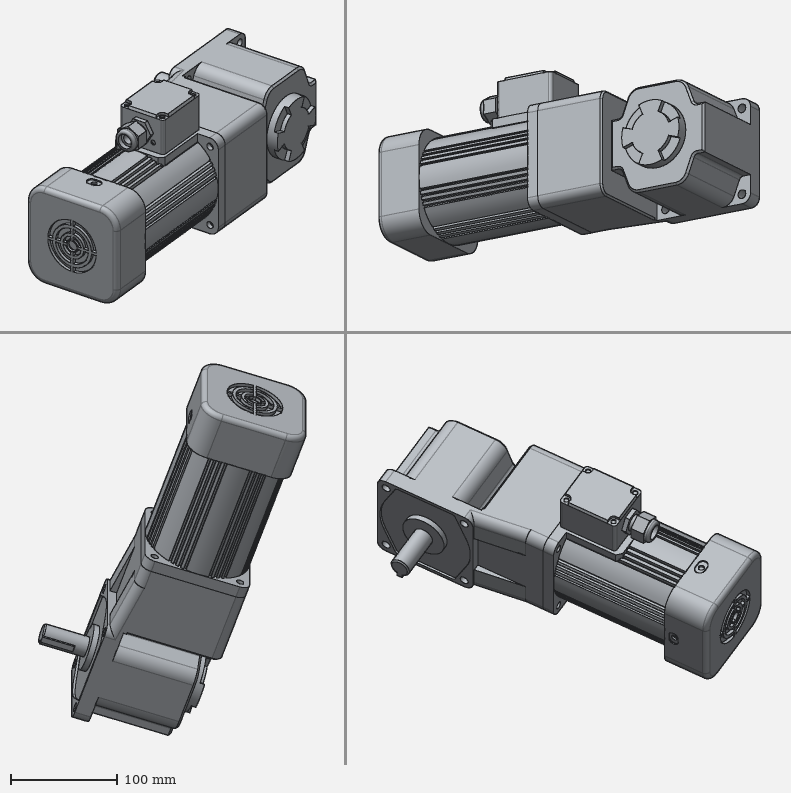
import cadquery as cq
import math


FRAME = 104.0
HALF = FRAME / 2
TOTAL_LENGTH = 354.0
GEAR_Y = TOTAL_LENGTH - HALF
BOLT_HALF_PITCH = 42.5

COVER_LENGTH = 46.7
FLANGE_REAR_Y = 167.5
FLANGE_FRONT_Y = 178.8
PLATE_LOWER_Y = GEAR_Y - HALF

PLATE_FRONT_X = -61.2
PLATE_BACK_X = -45.3
PLATE_CORNER_RADIUS = 9.2
BOLT_HOLE_RADIUS = 4.2
FACE_RECESS_DEPTH = 2.5
FACE_RECESS_RADIUS = 49.2
FACE_RECESS_HALF_HEIGHT = 48.5
FACE_RECESS_TANGENT_ANGLE = 25.0
FACE_RECESS_CORNER_RADIUS = 3.5
HUB_FRONT_X = -64.5
HUB_RADIUS = 22.48
CASE_BACK_X = 36.8
CASE_EDGE_CHAMFER = 2.0
CASE_FLAT_HALF = 20.5
CASE_SHOULDER_RADIUS = 14.0
CASE_WALL_ANGLE = 68.0
CASE_SHELF_Z = 24.8
CASE_SHELF_START = 44.2
CASE_VALLEY_RADIUS = 5.0
CAP_RADIUS = 32.0
CAP_BACK_X = 49.0
CAP_NOTCH_DEPTH = 4.5
CAP_NOTCH_INNER_RADIUS = 21.2
CAP_NOTCH_START = 24.0
CAP_NOTCH_END = 72.0
ADAPTER_CORNER_RADIUS = 10.0
ADAPTER_EDGE_CHAMFER = 1.8
RAMP_TOP_X = -58.8
RAMP_END_Y = 198.0
RAMP_INNER_Z = 23.5
RAMP_FILLET_CLEARANCE = 0.5

SHAFT_TIP_X = -109.0
SHAFT_RADIUS = 10.0
SHAFT_CHAMFER = 1.5
KEY_END_X = -76.8
KEY_WIDTH = 5.5
KEY_BOTTOM = -12.0

FLANGE_SCREW_RADIUS = 3.5
FLANGE_SCREW_DEPTH = 5.3
PAD_HALF_WIDTH = 28.3
PAD_REAR_Y = 108.7
PAD_BOTTOM_Z = 42.5
PAD_CORNER_CHAMFER = 5.0

STATOR_RADIUS = 51.7
GROOVE_WIDTH = 2.0
GROOVE_DEPTH = 3.0
GROOVE_OFFSETS = (12.5, 17.7, 22.5, 27.3)

COVER_CORNER_RADIUS = 20.2
COVER_EDGE_RADIUS = 5.0
GRILLE_DEPTH = 3.5
GRILLE_RINGS = ((6.7, 10.3), (13.5, 18.8), (22.3, 27.5))
GRILLE_SPOKE_WIDTH = 3.0
GRILLE_CENTRE_RADIUS = 5.5
SCREW_SLOT_Y = 36.8
SCREW_SLOT_LENGTH = 15.5
SCREW_SLOT_WIDTH = 10.0
SCREW_SLOT_DEPTH = 1.5
COVER_SCREW_RADIUS = 3.0
COVER_SCREW_DEPTH = 3.5

BOX_WIDTH = 50.3
BOX_REAR_Y = 115.8
BOX_FRONT_Y = 177.0
BOX_HEIGHT = 40.0
BOX_CORNER_RADIUS = 3.2
LID_THICKNESS = 3.0
LID_CHAMFER = 1.5
LID_CUT_SIZE = 9.2
LID_CUT_RADIUS = 4.2
LID_SCREW_INSET = 5.0
LID_SCREW_RADIUS = 2.5
LID_SCREW_DEPTH = 1.5
SMALL_HOLE_RADIUS = 2.5
SMALL_HOLE_DEPTH = 1.8
SMALL_HOLE_X = 13.0
SMALL_HOLE_Z = 62.0

GLAND_Z = 72.0
LOCKNUT_RADIUS = 13.5
LOCKNUT_REAR_Y = 111.0
NECK_RADIUS = 8.5
NUT_RADIUS = 13.8
NUT_FRONT_Y = 106.5
NUT_REAR_Y = 93.0
DOME_RADIUS = 11.5
DOME_END_Y = 87.8
DOME_ROUNDING = 3.0
BORE_RADIUS = 5.0
BORE_MOUTH_RADIUS = 7.5


def box_between(x0, x1, y0, y1, z0, z1):
    """Box spanning the given corner coordinates."""
    return cq.Workplane("XY").box(x1 - x0, y1 - y0, z1 - z0, centered=False).translate((x0, y0, z0))


def x_plane(x):
    """Sketch plane facing +X, with local axes Y and Z centred on the output shaft."""
    return cq.Workplane("YZ", origin=(x, GEAR_Y, 0))


def y_plane(y, z=0.0):
    """Sketch plane whose normal is -Y, with local axes X and Z."""
    return cq.Workplane("XZ", origin=(0, y, z))


def square_block(y0, y1, corner_radius):
    """Motor-section square with rounded long edges."""
    return box_between(-HALF, HALF, y0, y1, -HALF, HALF).edges("|Y").fillet(corner_radius)


def bolt_points():
    """Four corner bolt positions about a centre line."""
    return [(a * BOLT_HALF_PITCH, b * BOLT_HALF_PITCH) for a in (-1, 1) for b in (-1, 1)]


def gear_case():
    """Case behind the plate, with a rounded shoulder and a ledge on both sides of its flats."""
    def on_arc(centre, radius, degrees):
        angle = math.radians(degrees)
        return (centre[0] + radius * math.sin(angle), centre[1] + radius * math.cos(angle))

    shoulder_centre = (CASE_FLAT_HALF, HALF - CASE_SHOULDER_RADIUS)
    valley_centre = (CASE_SHELF_START, CASE_SHELF_Z + CASE_VALLEY_RADIUS)
    quarter = (
        x_plane(PLATE_BACK_X)
        .moveTo(0, 0)
        .lineTo(0, HALF)
        .lineTo(CASE_FLAT_HALF, HALF)
        .threePointArc(
            on_arc(shoulder_centre, CASE_SHOULDER_RADIUS, CASE_WALL_ANGLE / 2),
            on_arc(shoulder_centre, CASE_SHOULDER_RADIUS, CASE_WALL_ANGLE),
        )
        .lineTo(*on_arc(valley_centre, -CASE_VALLEY_RADIUS, CASE_WALL_ANGLE))
        .threePointArc(
            on_arc(valley_centre, -CASE_VALLEY_RADIUS, CASE_WALL_ANGLE / 2),
            (CASE_SHELF_START, CASE_SHELF_Z),
        )
        .lineTo(HALF, CASE_SHELF_Z)
        .lineTo(HALF, 0)
        .close()
        .extrude(CASE_BACK_X - PLATE_BACK_X)
    )
    half = quarter.union(quarter.mirror("XY"))
    case = half.union(half.mirror("XZ", (0, GEAR_Y, 0))).clean()
    return case.faces(">X").chamfer(CASE_EDGE_CHAMFER)


def mounting_plate():
    return (
        x_plane(PLATE_FRONT_X)
        .rect(FRAME, FRAME)
        .extrude(PLATE_BACK_X - PLATE_FRONT_X)
        .edges("|X")
        .fillet(PLATE_CORNER_RADIUS)
    )


def face_recess():
    """Shallow recess: round sides that run tangentially into slants, cut by level top and bottom."""
    angle = math.radians(FACE_RECESS_TANGENT_ANGLE)
    tangent_y = FACE_RECESS_RADIUS * math.cos(angle)
    tangent_z = FACE_RECESS_RADIUS * math.sin(angle)
    top = FACE_RECESS_HALF_HEIGHT
    corner_y = (FACE_RECESS_RADIUS - top * math.sin(angle)) / math.cos(angle)
    return (
        x_plane(PLATE_FRONT_X)
        .moveTo(corner_y, top)
        .lineTo(tangent_y, tangent_z)
        .threePointArc((FACE_RECESS_RADIUS, 0), (tangent_y, -tangent_z))
        .lineTo(corner_y, -top)
        .lineTo(-corner_y, -top)
        .lineTo(-tangent_y, -tangent_z)
        .threePointArc((-FACE_RECESS_RADIUS, 0), (-tangent_y, tangent_z))
        .lineTo(-corner_y, top)
        .close()
        .extrude(FACE_RECESS_DEPTH)
        .edges("|X and (>Z or <Z)")
        .fillet(FACE_RECESS_CORNER_RADIUS)
    )


def adapter():
    """Square section joining the gear case to the motor, with two corner ramps up to the plate."""
    block = square_block(FLANGE_FRONT_Y, PLATE_LOWER_Y, ADAPTER_CORNER_RADIUS)
    block = block.faces(">Y").edges("not(<X)").chamfer(ADAPTER_EDGE_CHAMFER)
    ramp_slope = (RAMP_TOP_X + HALF) / (PLATE_LOWER_Y - RAMP_END_Y)
    ramp_end_y = PLATE_LOWER_Y + PLATE_CORNER_RADIUS
    ramp_end_x = -HALF + ramp_slope * (ramp_end_y - RAMP_END_Y)
    core_x = -HALF + ADAPTER_CORNER_RADIUS
    ramp_profile = [
        (core_x, RAMP_END_Y),
        (-HALF, RAMP_END_Y),
        (ramp_end_x, ramp_end_y),
        (PLATE_BACK_X, ramp_end_y),
        (PLATE_BACK_X, PLATE_LOWER_Y),
        (core_x, PLATE_LOWER_Y),
    ]
    wedge = cq.Workplane("XY").polyline(ramp_profile).close().extrude(HALF, both=True)
    ramp_edges = wedge.faces("<X").edges("<Z or >Z")
    wedge = ramp_edges.fillet(ADAPTER_CORNER_RADIUS - RAMP_FILLET_CLEARANCE)
    gap = box_between(RAMP_TOP_X, -HALF, RAMP_END_Y, PLATE_LOWER_Y, -RAMP_INNER_Z, RAMP_INNER_Z)
    return block.union(wedge.cut(gap))


def cap_notch():
    """Ring sector cut into the rim of the cap, in its +Y +Z quarter."""
    def polar(radius, degrees):
        angle = math.radians(degrees)
        return (radius * math.sin(angle), radius * math.cos(angle))

    middle = (CAP_NOTCH_START + CAP_NOTCH_END) / 2
    return (
        x_plane(CAP_BACK_X - CAP_NOTCH_DEPTH)
        .moveTo(*polar(CAP_NOTCH_INNER_RADIUS, CAP_NOTCH_START))
        .lineTo(*polar(CAP_RADIUS, CAP_NOTCH_START))
        .threePointArc(polar(CAP_RADIUS, middle), polar(CAP_RADIUS, CAP_NOTCH_END))
        .lineTo(*polar(CAP_NOTCH_INNER_RADIUS, CAP_NOTCH_END))
        .threePointArc(
            polar(CAP_NOTCH_INNER_RADIUS, middle),
            polar(CAP_NOTCH_INNER_RADIUS, CAP_NOTCH_START),
        )
        .close()
        .extrude(CAP_NOTCH_DEPTH)
    )


def back_cap():
    """Round boss behind the gear case with four notches in its rim."""
    cap = x_plane(CASE_BACK_X).circle(CAP_RADIUS).extrude(CAP_BACK_X - CASE_BACK_X)
    notch = cap_notch()
    upper_pair = notch.union(notch.mirror("XZ", (0, GEAR_Y, 0)))
    return cap.cut(upper_pair).cut(upper_pair.mirror("XY"))


def build_gearhead():
    body = mounting_plate().union(gear_case()).union(adapter())
    body = body.cut(face_recess())
    hub_floor_x = PLATE_FRONT_X + FACE_RECESS_DEPTH
    body = body.union(x_plane(HUB_FRONT_X).circle(HUB_RADIUS).extrude(hub_floor_x - HUB_FRONT_X))
    body = body.union(back_cap())
    bolt_holes = (
        x_plane(PLATE_FRONT_X).pushPoints(bolt_points()).circle(BOLT_HOLE_RADIUS)
        .extrude(CASE_BACK_X - PLATE_FRONT_X)
    )
    shaft_hole = x_plane(HUB_FRONT_X).circle(SHAFT_RADIUS).extrude(PLATE_BACK_X - HUB_FRONT_X)
    return body.cut(bolt_holes).cut(shaft_hole)


def build_shaft():
    shaft = x_plane(SHAFT_TIP_X).circle(SHAFT_RADIUS).extrude(PLATE_BACK_X - SHAFT_TIP_X)
    shaft = shaft.faces("<X").chamfer(SHAFT_CHAMFER)
    key = box_between(
        SHAFT_TIP_X, KEY_END_X, GEAR_Y - KEY_WIDTH / 2, GEAR_Y + KEY_WIDTH / 2, KEY_BOTTOM, 0
    )
    return shaft.union(key)


def terminal_pad():
    """Raised seat of the terminal box, reaching back over the stator."""
    pad = box_between(-PAD_HALF_WIDTH, PAD_HALF_WIDTH, PAD_REAR_Y, FLANGE_REAR_Y, PAD_BOTTOM_Z, HALF)
    return pad.edges("|Z and <Y").chamfer(PAD_CORNER_CHAMFER)


def build_bracket():
    flange = square_block(FLANGE_REAR_Y, FLANGE_FRONT_Y, ADAPTER_CORNER_RADIUS)
    screw_holes = (
        y_plane(FLANGE_REAR_Y + FLANGE_SCREW_DEPTH).pushPoints(bolt_points())
        .circle(FLANGE_SCREW_RADIUS).extrude(FLANGE_SCREW_DEPTH)
    )
    return flange.cut(screw_holes).union(terminal_pad())


def build_stator():
    """Round stator with lengthwise grooves on four sides."""
    length = FLANGE_REAR_Y - COVER_LENGTH
    stator = y_plane(FLANGE_REAR_Y).circle(STATOR_RADIUS).extrude(length)
    for offset in GROOVE_OFFSETS:
        surface = math.sqrt(STATOR_RADIUS**2 - offset**2)
        floor = surface - GROOVE_DEPTH
        for side in (-1, 1):
            centre = side * offset
            groove = box_between(
                centre - GROOVE_WIDTH / 2, centre + GROOVE_WIDTH / 2,
                COVER_LENGTH, FLANGE_REAR_Y, floor, HALF,
            )
            for turn in range(4):
                stator = stator.cut(groove.rotate((0, 0, 0), (0, 1, 0), 90 * turn))
    return stator.cut(terminal_pad())


def grille():
    """Ring slots in the tail face, split by two crossing spokes."""
    slots = y_plane(GRILLE_DEPTH).circle(GRILLE_CENTRE_RADIUS).extrude(GRILLE_DEPTH)
    reach = 2 * GRILLE_RINGS[-1][1]
    spokes = y_plane(GRILLE_DEPTH).rect(reach, GRILLE_SPOKE_WIDTH).extrude(GRILLE_DEPTH)
    spokes = spokes.union(y_plane(GRILLE_DEPTH).rect(GRILLE_SPOKE_WIDTH, reach).extrude(GRILLE_DEPTH))
    for inner, outer in GRILLE_RINGS:
        ring = y_plane(GRILLE_DEPTH).circle(outer).circle(inner).extrude(GRILLE_DEPTH)
        slots = slots.union(ring.cut(spokes))
    return slots


def cover_screw_pocket():
    """Oblong recess with a screw hole in the +Z side of the cover."""
    top = cq.Workplane("XY", origin=(0, SCREW_SLOT_Y, HALF))
    slot = top.slot2D(SCREW_SLOT_LENGTH, SCREW_SLOT_WIDTH).extrude(-SCREW_SLOT_DEPTH)
    return slot.union(top.circle(COVER_SCREW_RADIUS).extrude(-COVER_SCREW_DEPTH))


def build_fan_cover():
    cover = square_block(0, COVER_LENGTH, COVER_CORNER_RADIUS)
    cover = cover.faces("<Y").edges().fillet(COVER_EDGE_RADIUS)
    pocket = cover_screw_pocket()
    side_pocket = pocket.rotate((0, 0, 0), (0, 1, 0), -90)
    return cover.cut(grille()).cut(pocket).cut(side_pocket)


def build_terminal_box():
    """Box whose lid has stepped corners for its screws."""
    half_width = BOX_WIDTH / 2
    top_z = HALF + BOX_HEIGHT
    ledge_z = top_z - LID_THICKNESS
    box = box_between(-half_width, half_width, BOX_REAR_Y, BOX_FRONT_Y, HALF, top_z)
    box = box.edges("|Z").fillet(BOX_CORNER_RADIUS).faces(">Z").edges().chamfer(LID_THICKNESS, LID_CHAMFER)
    for side_x in (-1, 1):
        for side_y, edge_y in ((-1, BOX_REAR_Y), (1, BOX_FRONT_Y)):
            cut_size = 2 * LID_CUT_SIZE
            corner = cq.Workplane("XY", origin=(side_x * half_width, edge_y, ledge_z))
            cut = corner.rect(cut_size, cut_size).extrude(LID_THICKNESS).edges("|Z").fillet(LID_CUT_RADIUS)
            screw = corner.center(-side_x * LID_SCREW_INSET, -side_y * LID_SCREW_INSET)
            box = box.cut(cut).cut(screw.circle(LID_SCREW_RADIUS).extrude(-LID_SCREW_DEPTH))
    small_hole = y_plane(BOX_REAR_Y + SMALL_HOLE_DEPTH, SMALL_HOLE_Z).center(SMALL_HOLE_X, 0)
    return box.cut(small_hole.circle(SMALL_HOLE_RADIUS).extrude(SMALL_HOLE_DEPTH))


def build_gland():
    """Locknut, neck, hexagonal nut and domed end with a stepped bore."""
    locknut = y_plane(BOX_REAR_Y, GLAND_Z).polygon(6, 2 * LOCKNUT_RADIUS).extrude(BOX_REAR_Y - LOCKNUT_REAR_Y)
    neck = y_plane(LOCKNUT_REAR_Y, GLAND_Z).circle(NECK_RADIUS).extrude(LOCKNUT_REAR_Y - NUT_FRONT_Y)
    nut = y_plane(NUT_FRONT_Y).polygon(6, 2 * NUT_RADIUS).extrude(NUT_FRONT_Y - NUT_REAR_Y)
    nut = nut.rotate((0, 0, 0), (0, 1, 0), 30).translate((0, 0, GLAND_Z))
    dome = y_plane(NUT_REAR_Y, GLAND_Z).circle(DOME_RADIUS).extrude(NUT_REAR_Y - DOME_END_Y)
    dome = dome.faces("<Y").edges().fillet(DOME_ROUNDING)
    mouth = y_plane(NUT_REAR_Y, GLAND_Z).circle(BORE_MOUTH_RADIUS).extrude(NUT_REAR_Y - DOME_END_Y)
    bore = y_plane(LOCKNUT_REAR_Y, GLAND_Z).circle(BORE_RADIUS).extrude(LOCKNUT_REAR_Y - DOME_END_Y)
    return locknut.union(neck).union(nut).union(dome).cut(mouth).cut(bore)


gearhead = build_gearhead()
shaft = build_shaft()
bracket = build_bracket()
stator = build_stator()
fan_cover = build_fan_cover()
terminal_box = build_terminal_box()
gland = build_gland()

result = cq.Compound.makeCompound([
    gearhead.val(),
    shaft.val(),
    bracket.val(),
    stator.val(),
    fan_cover.val(),
    terminal_box.val(),
    gland.val(),
])